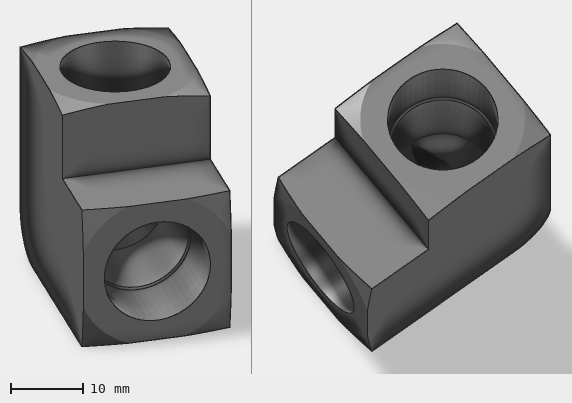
import cadquery as cq
import math

leg_length = 32.0
leg_width = 21.34
corner_radius = 6.35

end_face_radius = 11.42
chamfer_angle = 12.0

counterbore_diameter = 15.3
counterbore_depth = 9.6
step_slope = 30.0
bore_diameter = 14.65
point_angle = 90.0

axis_offset = leg_width / 2
bore_depth = leg_length - axis_offset
rounding_middle = corner_radius * (1 - math.sqrt(0.5))


def upright_half_blank():
    """The half of the elbow above the miter plane X = Z, before any cuts."""
    outline = (
        cq.Workplane("XZ")
        .moveTo(rounding_middle, rounding_middle)
        .lineTo(leg_width, leg_width)
        .lineTo(leg_width, leg_length)
        .lineTo(0, leg_length)
        .lineTo(0, corner_radius)
        .radiusArc((rounding_middle, rounding_middle), -corner_radius)
        .close()
    )
    return outline.extrude(leg_width / 2, both=True)


def chamfer_cutter():
    """Ring lying outside a shallow cone at the end of the upright leg."""
    outer_radius = leg_width
    drop = (outer_radius - end_face_radius) * math.tan(math.radians(chamfer_angle))
    profile = (
        cq.Workplane("XZ")
        .moveTo(end_face_radius, leg_length)
        .lineTo(outer_radius, leg_length)
        .lineTo(outer_radius, leg_length - drop)
        .close()
    )
    ring = profile.revolve(360, (0, 0, 0), (0, 1, 0))
    return ring.translate((axis_offset, 0, 0))


def bore_cutter():
    """Counterbore, conical step, bore and conical point on the axis of the upright leg."""
    bore_radius = bore_diameter / 2
    counterbore_radius = counterbore_diameter / 2
    step_height = leg_length - counterbore_depth
    step_drop = (counterbore_radius - bore_radius) * math.tan(math.radians(step_slope))
    bore_end = leg_length - bore_depth
    point_length = bore_radius / math.tan(math.radians(point_angle / 2))
    profile = (
        cq.Workplane("XZ")
        .moveTo(0, leg_length)
        .lineTo(counterbore_radius, leg_length)
        .lineTo(counterbore_radius, step_height)
        .lineTo(bore_radius, step_height - step_drop)
        .lineTo(bore_radius, bore_end)
        .lineTo(0, bore_end - point_length)
        .close()
    )
    bore = profile.revolve(360, (0, 0, 0), (0, 1, 0))
    return bore.translate((axis_offset, 0, 0))


upright_half = upright_half_blank().cut(chamfer_cutter()).cut(bore_cutter())
lying_half = upright_half.rotate((0, 0, 0), (1, 0, 1), 180)
result = upright_half.union(lying_half).clean()